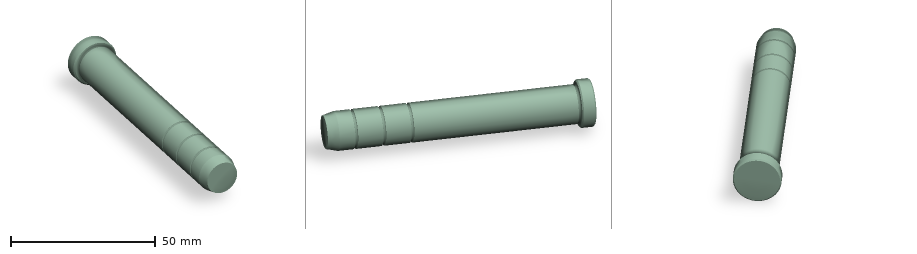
import cadquery as cq
import math

total_length = 95.0

groove_radius = 0.5
relief_groove_center = 5.5
first_guide_groove_center = 65.0
guide_groove_pitch = 10.0
guide_groove_count = 3

head_length = relief_groove_center - groove_radius
head_diameter = 17.0
head_chamfer = 0.5

shaft_diameter = 14.0
shaft_radius = shaft_diameter / 2

tip_length = 4.0
tip_half_angle = 15.0
tip_start = total_length - tip_length
tip_end_radius = shaft_radius - tip_length * math.tan(math.radians(tip_half_angle))


def revolve_about_x(profile):
    """Turn a closed XY profile all the way round the X axis."""
    return profile.revolve(360, (0, 0, 0), (1, 0, 0))


def make_head():
    """Flat disc with both rims chamfered."""
    disc = cq.Workplane("YZ").circle(head_diameter / 2).extrude(head_length)
    return disc.edges().chamfer(head_chamfer)


def make_shank():
    """Straight shaft ending in the tapered tip."""
    profile = (
        cq.Workplane("XY")
        .lineTo(0, shaft_radius)
        .lineTo(tip_start, shaft_radius)
        .lineTo(total_length, tip_end_radius)
        .lineTo(total_length, 0)
        .close()
    )
    return revolve_about_x(profile)


def groove_cutter(center_x):
    """Round ring, centred on the shaft surface, that cuts a half-round groove."""
    section = cq.Workplane("XY").moveTo(center_x, shaft_radius).circle(groove_radius)
    return revolve_about_x(section)


result = make_head().union(make_shank())

result = result.cut(groove_cutter(relief_groove_center))

for index in range(guide_groove_count):
    result = result.cut(groove_cutter(first_guide_groove_center + index * guide_groove_pitch))